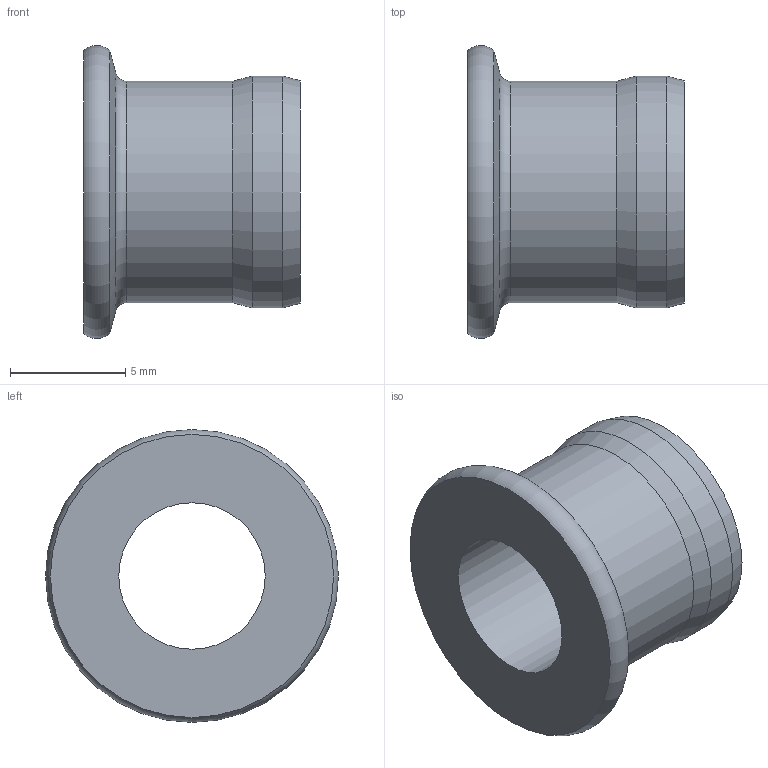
import cadquery as cq
import math

length = 9.4
bore_radius = 6.35 / 2
body_radius = 4.8

flange_radius = 12.7 / 2
rim_width = 1.13
rim_crown = 0.21
rim_edge_radius = flange_radius - rim_crown

back_angle = math.radians(15)
fillet_radius = 0.5
fillet_turn = math.pi / 2 - back_angle

barb_radius = 5.03
barb_angle = math.radians(15)
barb_land_start = 7.32
barb_land_end = 8.62

fillet_start_radius = body_radius + fillet_radius * (1 - math.cos(fillet_turn))
fillet_start_x = rim_width + (rim_edge_radius - fillet_start_radius) * math.tan(back_angle)
fillet_end_x = fillet_start_x + fillet_radius * math.sin(fillet_turn)
fillet_mid = (
    fillet_end_x - fillet_radius * math.sin(fillet_turn / 2),
    body_radius + fillet_radius * (1 - math.cos(fillet_turn / 2)),
)

barb_start_x = barb_land_start - (barb_radius - body_radius) / math.tan(barb_angle)
end_radius = barb_radius - (length - barb_land_end) * math.tan(barb_angle)


def half_section():
    """Section of the wall above the axis, X along the axis and Y as radius."""
    return (
        cq.Workplane("XZ")
        .moveTo(0, bore_radius)
        .lineTo(0, rim_edge_radius)
        .threePointArc((rim_width / 2, flange_radius), (rim_width, rim_edge_radius))
        .lineTo(fillet_start_x, fillet_start_radius)
        .threePointArc(fillet_mid, (fillet_end_x, body_radius))
        .lineTo(barb_start_x, body_radius)
        .lineTo(barb_land_start, barb_radius)
        .lineTo(barb_land_end, barb_radius)
        .lineTo(length, end_radius)
        .lineTo(length, bore_radius)
        .close()
    )


result = half_section().revolve(360, (0, 0, 0), (1, 0, 0))